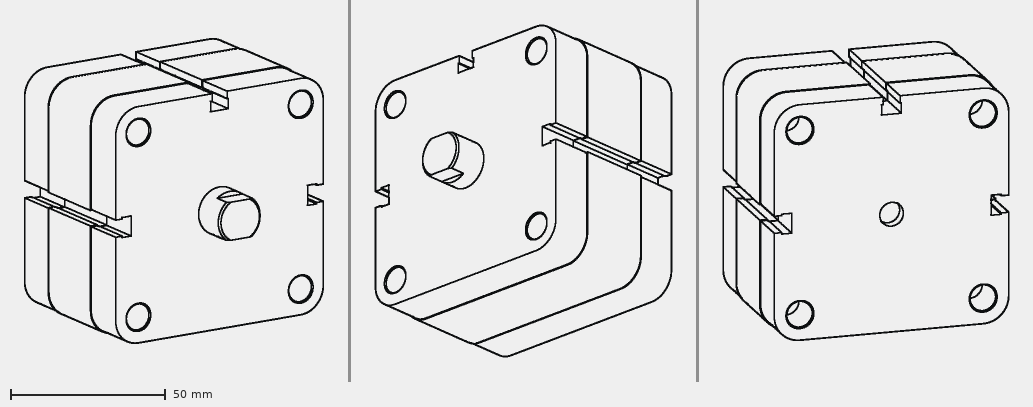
import cadquery as cq
TOTAL_LENGTH = 67.5
BARREL_LENGTH = 25.5
ROD_LENGTH = 12.5
COVER_LENGTH = (TOTAL_LENGTH - BARREL_LENGTH - ROD_LENGTH) / 2

BARREL_WIDTH = 80.0
COVER_WIDTH = 79.4
BOLT_OFFSET = 31.0

BOLT_HOLE_DIAMETER = 8.6
BOLT_MOUTH_DIAMETER = 9.4
CENTRING_DIAMETER = 8.0
CENTRING_DEPTH = 4.0

SLOT_ANGLES = (-90, 0, 90)
SLOT_DEPTH = 6.2
SLOT_LIP = 2.6
BARREL_SLOT_OPENING = 5.2
BARREL_SLOT_UNDERCUT = 6.5
COVER_SLOT_OPENING = 5.8
COVER_SLOT_UNDERCUT = 6.7

ROD_DIAMETER = 16.0
ROD_CHAMFER = 0.6
FLAT_SPACING = 12.8
FLAT_LENGTH = 6.2

BARREL_START = COVER_LENGTH
FRONT_COVER_START = BARREL_START + BARREL_LENGTH
ROD_START = FRONT_COVER_START + COVER_LENGTH
BOLT_SPACING = 2 * BOLT_OFFSET


def section_plane(x):
    """Plane square to the X axis, with local x along Y and local y along Z."""
    return cq.Workplane("YZ", origin=(x, 0, 0))


def slot_cutter(x, length, width, opening, undercut_width):
    """T-slot in the +Z side of a block: a narrow opening above a wider undercut."""
    side = width / 2
    floor = BARREL_WIDTH / 2 - SLOT_DEPTH
    shoulder = side - SLOT_LIP
    neck = section_plane(x).center(0, (floor + side) / 2).rect(opening, side - floor).extrude(length)
    undercut = (
        section_plane(x)
        .center(0, (floor + shoulder) / 2)
        .rect(undercut_width, shoulder - floor)
        .extrude(length)
    )
    return neck.union(undercut)


def profile_block(x, length, width, slot_opening, slot_undercut):
    """Rounded square block with four bolt holes and T-slots in three sides."""
    block = (
        section_plane(x)
        .rect(width, width)
        .extrude(length)
        .edges("|X")
        .fillet(width / 2 - BOLT_OFFSET)
    )
    bolt_holes = (
        section_plane(x)
        .rect(BOLT_SPACING, BOLT_SPACING, forConstruction=True)
        .vertices()
        .circle(BOLT_HOLE_DIAMETER / 2)
        .extrude(length)
    )
    block = block.cut(bolt_holes)
    slot = slot_cutter(x, length, width, slot_opening, slot_undercut)
    for angle in SLOT_ANGLES:
        block = block.cut(slot.rotate((0, 0, 0), (1, 0, 0), angle))
    return block


def make_cover(x, outer_face):
    """End cover whose bolt holes are chamfered at the outer face."""
    cover = profile_block(x, COVER_LENGTH, COVER_WIDTH, COVER_SLOT_OPENING, COVER_SLOT_UNDERCUT)
    mouth_chamfer = (BOLT_MOUTH_DIAMETER - BOLT_HOLE_DIAMETER) / 2
    return (
        cover.faces(outer_face)
        .edges(cq.selectors.RadiusNthSelector(0))
        .chamfer(mouth_chamfer)
    )


def make_rear_cover():
    """Rear end cover with a blind centring hole."""
    centring_hole = section_plane(0).circle(CENTRING_DIAMETER / 2).extrude(CENTRING_DEPTH)
    return make_cover(0, "<X").cut(centring_hole)


def make_barrel():
    """Slightly wider middle section between the two covers."""
    return profile_block(
        BARREL_START, BARREL_LENGTH, BARREL_WIDTH, BARREL_SLOT_OPENING, BARREL_SLOT_UNDERCUT
    )


def make_front_cover():
    """Front end cover that the rod stands on."""
    return make_cover(FRONT_COVER_START, ">X")


def make_rod():
    """Chamfered round rod end with two wrench flats facing up and down."""
    rod = section_plane(ROD_START).circle(ROD_DIAMETER / 2).extrude(ROD_LENGTH)
    rod = rod.faces(">X").chamfer(ROD_CHAMFER)
    flat_start = ROD_START + ROD_LENGTH - FLAT_LENGTH
    flat_zone = section_plane(flat_start).rect(ROD_DIAMETER, 2 * ROD_DIAMETER).extrude(FLAT_LENGTH)
    kept = section_plane(flat_start).rect(ROD_DIAMETER, FLAT_SPACING).extrude(FLAT_LENGTH)
    return rod.cut(flat_zone.cut(kept))


rear_cover = make_rear_cover()
barrel = make_barrel()
front_cover = make_front_cover()
rod = make_rod()

result = cq.Compound.makeCompound([rear_cover.val(), barrel.val(), front_cover.val(), rod.val()])